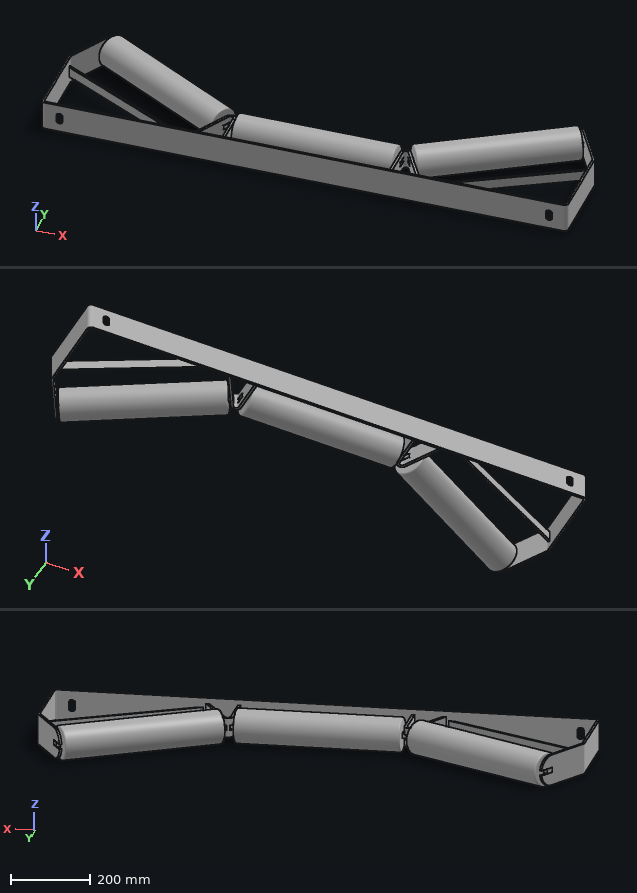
import cadquery as cq
import math


frame_length = 1400.0
bar_thickness = 6.0
bar_width = 80.0
bend_radius = 11.0
tip_reach = 32.0
mount_slot_width = 17.0
mount_slot_length = 30.0
mount_slot_inset = 49.0

bracket_thickness = 7.0
bracket_width = 50.0
arch_radius = 14.0

brace_width = 30.0
brace_wall_height = 206.0
brace_foot_x = 315.0

roller_diameter = 90.0
roller_length = 427.0
roller_edge_radius = 4.0
end_gap = 5.0
shaft_height = 20.0
shaft_width = 13.0
trough_angle = 30.0
centre_axis_height = 98.0
side_roller_x = 438.0
side_axis_height = 218.0

half_bar = bar_thickness / 2
wall_x = frame_length / 2 - half_bar
plate_inner = roller_length / 2 + end_gap
tip_middle = plate_inner + half_bar
bracket_middle = plate_inner + bracket_thickness / 2
cos_tilt = math.cos(math.radians(trough_angle))
sin_tilt = math.sin(math.radians(trough_angle))

roller_places = [
    (-side_roller_x, side_axis_height, -trough_angle, bar_thickness, bracket_thickness),
    (0.0, centre_axis_height, 0.0, bracket_thickness, bracket_thickness),
    (side_roller_x, side_axis_height, trough_angle, bracket_thickness, bar_thickness),
]


def place(shape, x, y, turn):
    """Turn a shape about Z, then move it to x, y."""
    return shape.rotate((0, 0, 0), (0, 0, 1), turn).translate((x, y, 0))


def mirrored_pair(shape):
    return [shape, shape.mirror("YZ")]


def flat_bar(points, width, thickness=bar_thickness, bend=None):
    """Flat bar whose middle plane follows the points, with rounded bends of the given outer radius."""
    path = cq.Wire.makePolygon([cq.Vector(x, y, 0) for x, y in points])
    if bend:
        path = path.fillet(bend - thickness / 2)
    start = cq.Vector(*points[0], 0)
    along = cq.Vector(*points[1], 0) - start
    section = cq.Workplane(cq.Plane(start, xDir=(0, 0, 1), normal=along.toTuple()))
    return section.rect(width, thickness).sweep(cq.Workplane(path))


def beside_side_roller(along, up):
    """Point given along and square to the axis of the right side roller."""
    return (
        side_roller_x + along * cos_tilt - up * sin_tilt,
        side_axis_height + along * sin_tilt + up * cos_tilt,
    )


def base_strip():
    """Base, two walls and two sloping end plates, bent from one bar."""
    tip_x, tip_y = beside_side_roller(tip_middle, tip_reach)
    corner_y = tip_y - (wall_x - tip_x) * cos_tilt / sin_tilt
    right_half = [(wall_x, half_bar), (wall_x, corner_y), (tip_x, tip_y)]
    left_half = [(-x, y) for x, y in reversed(right_half)]
    return flat_bar(left_half + right_half, bar_width, bend=bend_radius)


def inner_bracket():
    """Narrow arch between the centre roller and the right side roller."""
    axis_x, axis_y = beside_side_roller(-bracket_middle, 0)
    rise = (axis_x - bracket_middle) * cos_tilt / sin_tilt
    foot_x = axis_x + (axis_y - half_bar) * sin_tilt / cos_tilt
    outline = [(bracket_middle, half_bar), (bracket_middle, axis_y + rise), (foot_x, half_bar)]
    return flat_bar(outline, bracket_width, bracket_thickness, arch_radius)


def brace():
    return flat_bar([(brace_foot_x, half_bar), (wall_x, brace_wall_height)], brace_width)


def tip_rounding():
    """Corners to remove so that the right end plate finishes in a half circle."""
    radius = bar_width / 2
    block = cq.Workplane("YZ").center(tip_reach - radius / 2, 0).rect(radius, bar_width)
    block = block.extrude(bar_thickness)
    disc = cq.Workplane("YZ").center(tip_reach - radius, 0).circle(radius).extrude(bar_thickness)
    corners = block.cut(disc).translate((plate_inner, 0, 0))
    return place(corners, side_roller_x, side_axis_height, trough_angle)


def shaft_slots(left_plate, right_plate):
    """Open slots in the plates at both ends of a roller, from under its shaft to past their tops."""
    slot_height = shaft_height / 2 + roller_diameter / 2
    slot_bottom = -shaft_height / 2
    slots = cq.Workplane("XY")
    for start, thickness in [(-plate_inner - left_plate, left_plate), (plate_inner, right_plate)]:
        slot = cq.Workplane("XY").box(thickness, slot_height, shaft_width, centered=(False, False, True))
        slots = slots.add(slot.translate((start, slot_bottom, 0)))
    return slots.combine()


def mounting_slots():
    slot_x = frame_length / 2 - mount_slot_inset
    return (
        cq.Workplane("XZ")
        .pushPoints([(-slot_x, 0), (slot_x, 0)])
        .slot2D(mount_slot_length, mount_slot_width, 90)
        .extrude(-bar_thickness)
    )


def make_frame():
    frame = base_strip()
    for piece in mirrored_pair(inner_bracket()) + mirrored_pair(brace()):
        frame = frame.union(piece)
    for corners in mirrored_pair(tip_rounding()):
        frame = frame.cut(corners)
    for x, y, turn, left_plate, right_plate in roller_places:
        frame = frame.cut(place(shaft_slots(left_plate, right_plate), x, y, turn))
    return frame.cut(mounting_slots())


def make_roller(left_plate, right_plate):
    """Roller along X with rounded edges and rectangular shaft ends that fill the thickness of the plates."""
    drum = cq.Workplane("YZ", origin=(-roller_length / 2, 0, 0))
    drum = drum.circle(roller_diameter / 2).extrude(roller_length)
    drum = drum.edges("%CIRCLE").fillet(roller_edge_radius)
    shaft_start = -plate_inner - left_plate
    shaft_length = left_plate + 2 * plate_inner + right_plate
    shaft = cq.Workplane("YZ", origin=(shaft_start, 0, 0))
    return drum.union(shaft.rect(shaft_height, shaft_width).extrude(shaft_length))


frame = make_frame()
rollers = [
    place(make_roller(left_plate, right_plate), x, y, turn)
    for x, y, turn, left_plate, right_plate in roller_places
]

result = cq.Compound.makeCompound([frame.val(), *[roller.val() for roller in rollers]])